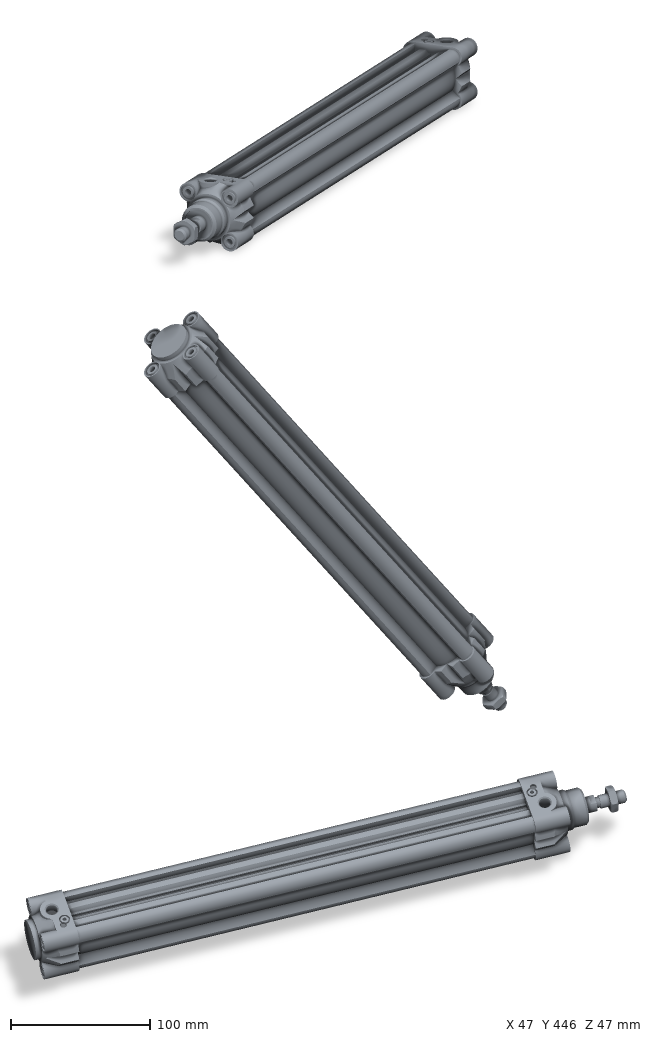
import cadquery as cq
import math


TOTAL_LENGTH = 446.0
ROD_REACH = 48.0
REAR_COLLAR_LENGTH = 4.0
BODY_LENGTH = TOTAL_LENGTH - ROD_REACH - REAR_COLLAR_LENGTH

COVER_WIDTH = 47.0
COVER_HALF = COVER_WIDTH / 2
COVER_LENGTH = 26.0
LUG_DIAMETER = 14.0
LUG_OFFSET = COVER_HALF - LUG_DIAMETER / 2
LUG_BORE_DIAMETER = 12.0
LUG_BORE_DEPTH = 2.0
SCREW_HEAD_DIAMETER = 8.5
SCREW_SOCKET_DIAMETER = 5.0
SCREW_SOCKET_DEPTH = 4.5
RIDGE_SPACING = 9.5
FLANK_HALF_WIDTH = 10.3
FLANK_REACH = 20.5
GROOVE_REACH = 18.5
CONE_FACE_RADIUS = 17.5
CONE_LENGTH = 11.5

PORT_X = -5.5
PORT_FROM_FACE = 14.0
PORT_BOSS_RADIUS = 8.5
PORT_DIAMETER = 8.5
FRONT_PORT_DEPTH = COVER_HALF
REAR_PORT_DEPTH = 7.0
PORT_CHAMFER = 1.0
ADJUSTER_X = 6.0
ADJUSTER_FROM_FACE = 20.0
ADJUSTER_DIAMETER = 8.0
ADJUSTER_HEAD_DIAMETER = 6.0
ADJUSTER_SOCKET_DIAMETER = 3.0
ADJUSTER_DEPTH = 2.2
PIN_HOLE_X = 10.3
PIN_HOLE_FROM_FACE = 18.0
PIN_HOLE_DIAMETER = 5.0

COLLAR_DIAMETER = 30.0
COLLAR_STEP_LENGTH = 4.5
COLLAR_TAPER_LENGTH = 2.0
NOSE_DIAMETER = 27.5
NOSE_CHAMFER = 2.0
NOSE_REACH = 17.5
WIPER_DIAMETER = 22.0
WIPER_DEPTH = 1.5

TUBE_WIDTH = 44.0
TUBE_HALF = TUBE_WIDTH / 2
TUBE_CORNER_RADIUS = 6.5
TUBE_LENGTH = BODY_LENGTH - 2 * COVER_LENGTH
BARREL_RADIUS = 18.5
CHANNEL_MOUTH_HALF = 14.0
CHANNEL_FLOOR_HALF = 9.0
TOP_RECESS_HALF = 14.0
TOP_RECESS_DEPTH = 6.0
LAND_DEPTH = 3.0
LAND_INNER = 5.5
LAND_OUTER = 10.0
LAND_SLOPE_WIDTH = 2.2
CENTRE_SLOT_WIDTH = 2.5
CENTRE_SLOT_DEPTH = 8.0

ROD_DIAMETER = 12.0
ROD_SHOULDER = 25.5
FLATS_START = 21.5
FLATS_WIDTH = 10.0
NECK_DIAMETER = 8.0
NECK_LENGTH = 3.0
THREAD_DIAMETER = 10.0
TIP_CHAMFER = 1.5

NUT_ACROSS_FLATS = 17.0
NUT_ACROSS_CORNERS = NUT_ACROSS_FLATS / math.cos(math.pi / 6)
NUT_THICKNESS = 5.5
NUT_FRONT = 40.5
NUT_TURN = 30
NUT_CHAMFER = 1.0

AXIS_POINT = (0, 0, 0)
ROD_AXIS = (0, 1, 0)
SIDE_ANGLES = (90, 180, 270)


def disc(diameter, y_start, y_end, x=0.0, z=0.0):
    """Round bar along Y between two stations."""
    bar = cq.Solid.makeCylinder(diameter / 2, y_end - y_start, cq.Vector(x, y_start, z), cq.Vector(ROD_AXIS))
    return cq.Workplane(bar)


def turned(stations):
    """Solid of revolution about Y from (radius, y) points."""
    points = [(0, stations[0][1])] + stations + [(0, stations[-1][1])]
    return cq.Workplane("XY").polyline(points).close().revolve(360, AXIS_POINT, ROD_AXIS)


def prism(points, y_start, y_end):
    """Straight bar along Y from an (x, z) outline."""
    return cq.Workplane("XZ", origin=(0, y_end, 0)).polyline(points).close().extrude(y_end - y_start)


def block(width, height, y_start, y_end, x=0.0, z=0.0):
    """Rectangular bar along Y, centred on (x, z)."""
    length = y_end - y_start
    return cq.Workplane("XY").box(width, length, height).translate((x, y_start + length / 2, z))


def top_hole(diameter, depth, x, y):
    """Vertical drill that enters a cover's flat top."""
    return cq.Workplane("XY", origin=(x, y, COVER_HALF)).circle(diameter / 2).extrude(-depth)


def lug_points():
    """The four lug axes as (x, z)."""
    return [(x, z) for x in (-LUG_OFFSET, LUG_OFFSET) for z in (-LUG_OFFSET, LUG_OFFSET)]


def cover_core():
    """Middle of a cover: flat top, V grooves on the other sides, coned toward the mounting face."""
    core = block(2 * LUG_OFFSET, COVER_WIDTH, 0, COVER_LENGTH)
    core = core.union(block(COVER_WIDTH, 2 * LUG_OFFSET, 0, COVER_LENGTH))
    beyond = COVER_WIDTH
    side_relief = [
        (-LUG_OFFSET, beyond),
        (-LUG_OFFSET, FLANK_REACH),
        (-FLANK_HALF_WIDTH, FLANK_REACH),
        (-RIDGE_SPACING / 2, COVER_HALF),
        (0, GROOVE_REACH),
        (RIDGE_SPACING / 2, COVER_HALF),
        (FLANK_HALF_WIDTH, FLANK_REACH),
        (LUG_OFFSET, FLANK_REACH),
        (LUG_OFFSET, beyond),
    ]
    for angle in SIDE_ANGLES:
        core = core.cut(prism(side_relief, 0, COVER_LENGTH).rotate(AXIS_POINT, ROD_AXIS, angle))
    envelope = turned([
        (CONE_FACE_RADIUS, 0),
        (COVER_HALF, CONE_LENGTH),
        (COVER_WIDTH, CONE_LENGTH),
        (COVER_WIDTH, COVER_LENGTH),
    ])
    return core.intersect(envelope)


def cut_lug_screws(cover):
    """Ring recess around each screw head, and the head's socket."""
    for x, z in lug_points():
        recess = disc(LUG_BORE_DIAMETER, 0, LUG_BORE_DEPTH, x, z)
        recess = recess.cut(disc(SCREW_HEAD_DIAMETER, 0, LUG_BORE_DEPTH, x, z))
        cover = cover.cut(recess).cut(disc(SCREW_SOCKET_DIAMETER, 0, SCREW_SOCKET_DEPTH, x, z))
    return cover


def cut_top_features(cover, port_depth):
    """Air port, cushioning adjuster and pin hole in the flat top."""
    port = top_hole(PORT_DIAMETER, port_depth, PORT_X, PORT_FROM_FACE)
    countersink = cq.Workplane(cq.Solid.makeCone(
        PORT_DIAMETER / 2 + PORT_CHAMFER,
        PORT_DIAMETER / 2,
        PORT_CHAMFER,
        cq.Vector(PORT_X, PORT_FROM_FACE, COVER_HALF),
        cq.Vector(0, 0, -1),
    ))
    adjuster = top_hole(ADJUSTER_DIAMETER, ADJUSTER_DEPTH, ADJUSTER_X, ADJUSTER_FROM_FACE)
    adjuster = adjuster.cut(top_hole(ADJUSTER_HEAD_DIAMETER, ADJUSTER_DEPTH, ADJUSTER_X, ADJUSTER_FROM_FACE))
    socket = top_hole(ADJUSTER_SOCKET_DIAMETER, ADJUSTER_DEPTH, ADJUSTER_X, ADJUSTER_FROM_FACE)
    pin_hole = top_hole(PIN_HOLE_DIAMETER, ADJUSTER_DEPTH, PIN_HOLE_X, PIN_HOLE_FROM_FACE)
    return cover.cut(port).cut(countersink).cut(adjuster).cut(socket).cut(pin_hole)


def cover_body(port_depth):
    """Cover without its collar, mounting face on Y = 0 and looking toward -Y."""
    cover = cover_core()
    for x, z in lug_points():
        cover = cover.union(disc(LUG_DIAMETER, 0, COVER_LENGTH, x, z))
    boss = top_hole(2 * PORT_BOSS_RADIUS, COVER_HALF, PORT_X, PORT_FROM_FACE)
    cover = cover.union(boss)
    return cut_top_features(cut_lug_screws(cover), port_depth)


def make_front_cover():
    nose_radius = NOSE_DIAMETER / 2
    collar = turned([
        (COLLAR_DIAMETER / 2, 0),
        (COLLAR_DIAMETER / 2, -COLLAR_STEP_LENGTH),
        (nose_radius, -COLLAR_STEP_LENGTH - COLLAR_TAPER_LENGTH),
        (nose_radius, -NOSE_REACH + NOSE_CHAMFER),
        (nose_radius - NOSE_CHAMFER, -NOSE_REACH),
    ])
    wiper_recess = disc(WIPER_DIAMETER, -NOSE_REACH, -NOSE_REACH + WIPER_DEPTH)
    rod_bore = disc(ROD_DIAMETER, -NOSE_REACH, COVER_LENGTH)
    return cover_body(FRONT_PORT_DEPTH).union(collar).cut(wiper_recess).cut(rod_bore)


def make_rear_cover():
    cover = cover_body(REAR_PORT_DEPTH).union(disc(COLLAR_DIAMETER, -REAR_COLLAR_LENGTH, 0))
    return cover.rotate(AXIS_POINT, (0, 0, 1), 180).translate((0, BODY_LENGTH, 0))


def make_tube():
    y_start = COVER_LENGTH
    y_end = y_start + TUBE_LENGTH
    tube = block(TUBE_WIDTH, TUBE_WIDTH, y_start, y_end).edges("|Y").fillet(TUBE_CORNER_RADIUS)
    floor_reach = math.sqrt(BARREL_RADIUS**2 - CHANNEL_FLOOR_HALF**2)
    channel = prism(
        [
            (-CHANNEL_MOUTH_HALF, TUBE_HALF),
            (-CHANNEL_FLOOR_HALF, floor_reach),
            (CHANNEL_FLOOR_HALF, floor_reach),
            (CHANNEL_MOUTH_HALF, TUBE_HALF),
        ],
        y_start,
        y_end,
    ).cut(disc(2 * BARREL_RADIUS, y_start, y_end))
    for angle in SIDE_ANGLES:
        tube = tube.cut(channel.rotate(AXIS_POINT, ROD_AXIS, angle))
    recess_z = TUBE_HALF - TOP_RECESS_DEPTH
    land_z = TUBE_HALF - LAND_DEPTH
    half_recess = [
        (TOP_RECESS_HALF, TUBE_HALF),
        (TOP_RECESS_HALF, recess_z),
        (LAND_OUTER + LAND_SLOPE_WIDTH, recess_z),
        (LAND_OUTER, land_z),
        (LAND_INNER, land_z),
        (LAND_INNER - LAND_SLOPE_WIDTH, recess_z),
    ]
    mirrored_half = [(-x, z) for x, z in reversed(half_recess)]
    centre_slot = block(CENTRE_SLOT_WIDTH, 2 * CENTRE_SLOT_DEPTH, y_start, y_end, 0, TUBE_HALF)
    return tube.cut(prism(half_recess + mirrored_half, y_start, y_end)).cut(centre_slot)


def make_rod():
    thread_radius = THREAD_DIAMETER / 2
    rod = disc(ROD_DIAMETER, -ROD_SHOULDER, COVER_LENGTH)
    thread_start = ROD_SHOULDER + NECK_LENGTH
    for side in (-1, 1):
        flat_centre = side * (FLATS_WIDTH + ROD_DIAMETER) / 2
        rod = rod.cut(block(ROD_DIAMETER, ROD_DIAMETER, -ROD_SHOULDER, -FLATS_START, 0, flat_centre))
    thread = turned([
        (thread_radius, -thread_start),
        (thread_radius, -ROD_REACH + TIP_CHAMFER),
        (thread_radius - TIP_CHAMFER, -ROD_REACH),
    ])
    return rod.union(disc(NECK_DIAMETER, -thread_start, -ROD_SHOULDER)).union(thread)


def make_nut():
    nut_back = NUT_FRONT - NUT_THICKNESS
    hexagon = (
        cq.Workplane("XZ", origin=(0, -nut_back, 0))
        .polygon(6, NUT_ACROSS_CORNERS)
        .extrude(NUT_THICKNESS)
        .rotate(AXIS_POINT, ROD_AXIS, NUT_TURN)
    )
    corner_rounding = disc(NUT_ACROSS_CORNERS, -NUT_FRONT, -nut_back).edges().chamfer(NUT_CHAMFER)
    return hexagon.intersect(corner_rounding).cut(disc(THREAD_DIAMETER, -NUT_FRONT, -nut_back))


tube = make_tube()
front_cover = make_front_cover()
rear_cover = make_rear_cover()
rod = make_rod()
nut = make_nut()

result = cq.Compound.makeCompound(
    [tube.val(), front_cover.val(), rear_cover.val(), rod.val(), nut.val()]
)